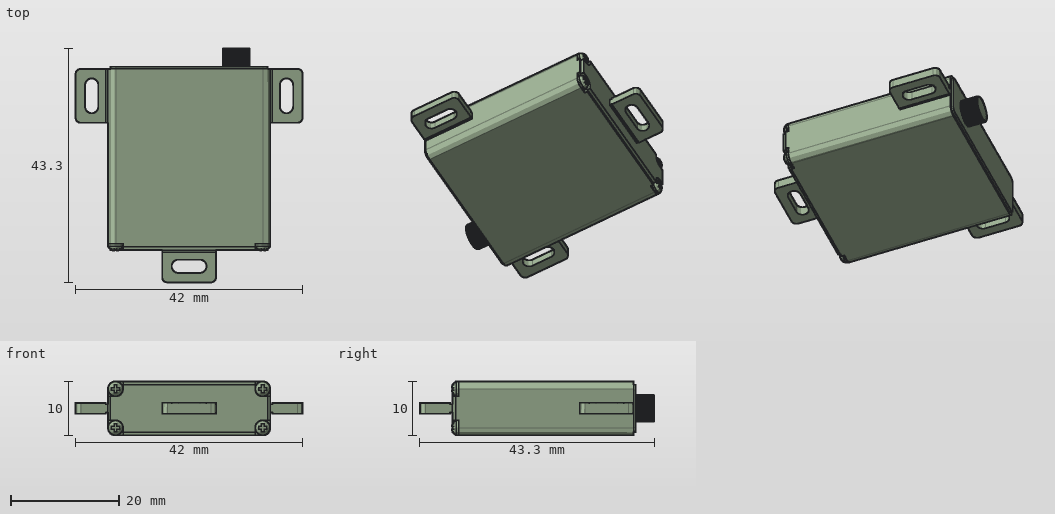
import cadquery as cq
import math

case_width = 30.0
case_height = 10.0
case_corner_radius = 1.4
case_back = 33.5

front_plate_thickness = 0.6
back_plate_thickness = 0.4
plate_inset_x = 0.45
plate_inset_z = 0.6

screw_head_radius = 1.37
screw_x = case_width / 2 - case_corner_radius
screw_z = case_height / 2 - case_corner_radius
screw_pocket_depth = 1.15
screw_rim_height = 0.4
screw_dome_height = 0.95
cross_length = 1.5
cross_width = 0.5
cross_depth = 0.6

lug_reach = 6.0
lug_width = 10.0
lug_thickness = 2.0
lug_corner_radius = 1.0
lug_neck_length = 0.4
lug_neck_thickness = 1.6
slot_length = 6.4
slot_width = 2.4

shaft_x = 8.7
shaft_length = 3.4
spline_tip_radius = 2.5
spline_root_radius = 2.3
spline_teeth = 25
spline_crest_share = 0.3
spline_tip_chamfer = 0.15


def block_along_y(width, height, y_start, y_end):
    """Box centred on X and Z that spans y_start to y_end."""
    block = cq.Workplane("XY").box(width, y_end - y_start, height, centered=(True, False, True))
    return block.translate((0, y_start, 0))


def make_case():
    case = block_along_y(case_width, case_height, front_plate_thickness, case_back)
    case = case.edges("|Y").fillet(case_corner_radius)
    plates = block_along_y(
        case_width - 2 * plate_inset_x,
        case_height - 2 * plate_inset_z,
        0,
        case_back + back_plate_thickness,
    )
    plates = plates.edges("|Y").fillet(case_corner_radius - plate_inset_x)
    return case.union(plates)


def make_screw_pocket():
    """Corner recess around the first-quadrant screw, rounded on its inner corner."""
    size = 2 * case_corner_radius
    pocket = cq.Workplane("XY").box(size, screw_pocket_depth, size)
    pocket = pocket.edges("|Y and <X and <Z").fillet(case_corner_radius)
    return pocket.translate((screw_x, screw_pocket_depth / 2, screw_z))


def make_screw_head():
    """Domed head with a cross recess, its axis on Y and its seat on the pocket floor."""
    seat = screw_pocket_depth
    rim = seat - screw_rim_height
    crown = rim - screw_dome_height
    dome_radius = (screw_head_radius**2 + screw_dome_height**2) / (2 * screw_dome_height)
    mid_radius = screw_head_radius / 2
    mid_y = crown + dome_radius - math.sqrt(dome_radius**2 - mid_radius**2)
    head = (
        cq.Workplane("XY")
        .moveTo(0, seat)
        .lineTo(screw_head_radius, seat)
        .lineTo(screw_head_radius, rim)
        .threePointArc((mid_radius, mid_y), (0, crown))
        .close()
        .revolve(360, (0, 0, 0), (0, 1, 0))
    )
    recess_floor = crown + cross_depth
    head = head.cut(block_along_y(cross_length, cross_width, crown, recess_floor))
    return head.cut(block_along_y(cross_width, cross_length, crown, recess_floor))


def add_screws(body):
    head = make_screw_head()
    pocket = make_screw_pocket()
    pocket = pocket.union(pocket.mirror("YZ"))
    body = body.cut(pocket).cut(pocket.mirror("XY"))
    for side_x in (-1, 1):
        for side_z in (-1, 1):
            body = body.union(head.translate((side_x * screw_x, 0, side_z * screw_z)))
    return body


def make_lug():
    """Slotted lug on a thinner neck, rooted at the origin and reaching along +X."""
    neck = cq.Workplane("XY").box(
        lug_neck_length, lug_width, lug_neck_thickness, centered=(False, True, True)
    )
    tab_length = lug_reach - lug_neck_length
    lug = cq.Workplane("XY").box(tab_length, lug_width, lug_thickness, centered=(False, True, True))
    lug = lug.translate((lug_neck_length, 0, 0))
    lug = lug.edges("|Z and >X").fillet(lug_corner_radius)
    slot = (
        cq.Workplane("XY")
        .center(lug_reach / 2, 0)
        .slot2D(slot_length, slot_width, 90)
        .extrude(lug_thickness, both=True)
    )
    return lug.union(neck).cut(slot)


def make_shaft():
    """Straight-sided spline shaft standing on the back plate."""
    tooth_angle = 2 * math.pi / spline_teeth
    tooth_profile = (
        (-spline_crest_share / 2, spline_tip_radius),
        (spline_crest_share / 2, spline_tip_radius),
        (0.5, spline_root_radius),
    )
    outline = []
    for tooth in range(spline_teeth):
        for step, radius in tooth_profile:
            angle = (tooth + step) * tooth_angle
            outline.append((radius * math.sin(angle), radius * math.cos(angle)))
    shaft = cq.Workplane("XY").polyline(outline).close().extrude(shaft_length)
    envelope = cq.Workplane("XY").circle(spline_tip_radius).extrude(shaft_length)
    envelope = envelope.faces(">Z").chamfer(spline_tip_chamfer)
    shaft = shaft.intersect(envelope).rotate((0, 0, 0), (1, 0, 0), -90)
    return shaft.translate((shaft_x, case_back + back_plate_thickness, 0))


def add_lugs(body):
    lug = make_lug()
    side_lug_y = case_back - lug_width / 2
    right_lug = lug.translate((case_width / 2, side_lug_y, 0))
    front_lug = lug.rotate((0, 0, 0), (0, 0, 1), -90)
    return body.union(right_lug).union(right_lug.mirror("YZ")).union(front_lug)


result = add_lugs(add_screws(make_case())).union(make_shaft())